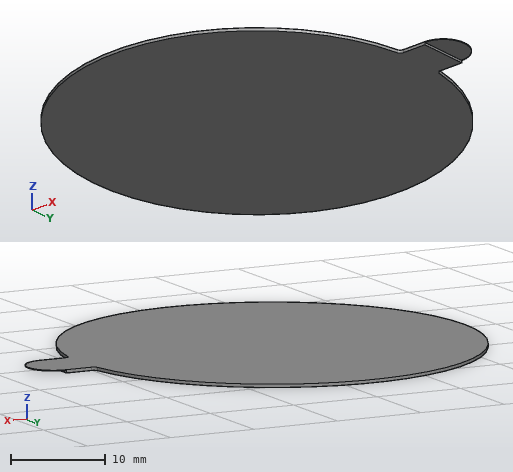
import cadquery as cq
import math

overall_length = 52.2
disc_diameter = 45.95
thickness = 0.37

tab_width = 6.0
tip_thickness = 0.1
root_fillet = 0.5

disc_radius = disc_diameter / 2
tab_radius = tab_width / 2
tab_end_x = overall_length - disc_radius
tip_center_x = tab_end_x - tab_radius

fillet_center_y = tab_radius + root_fillet
fillet_center_x = math.sqrt((disc_radius + root_fillet) ** 2 - fillet_center_y**2)
rim_ratio = disc_radius / (disc_radius + root_fillet)
rim_x = fillet_center_x * rim_ratio
rim_y = fillet_center_y * rim_ratio

rim_angle = math.atan2(rim_y - fillet_center_y, rim_x - fillet_center_x) % (2 * math.pi)
side_angle = 1.5 * math.pi
middle_angle = (rim_angle + side_angle) / 2
fillet_middle_x = fillet_center_x + root_fillet * math.cos(middle_angle)
fillet_middle_y = fillet_center_y + root_fillet * math.sin(middle_angle)


def make_body():
    """Full-thickness disc with the straight part of the tab."""
    return (
        cq.Workplane("XY")
        .moveTo(rim_x, rim_y)
        .threePointArc((-disc_radius, 0), (rim_x, -rim_y))
        .threePointArc((fillet_middle_x, -fillet_middle_y), (fillet_center_x, -tab_radius))
        .lineTo(tip_center_x, -tab_radius)
        .lineTo(tip_center_x, tab_radius)
        .lineTo(fillet_center_x, tab_radius)
        .threePointArc((fillet_middle_x, fillet_middle_y), (rim_x, rim_y))
        .close()
        .extrude(thickness)
    )


def make_tip():
    """Thin half-round tab tip, flush with the top face."""
    return (
        cq.Workplane("XY")
        .workplane(offset=thickness - tip_thickness)
        .moveTo(tip_center_x, -tab_radius)
        .threePointArc((tab_end_x, 0), (tip_center_x, tab_radius))
        .close()
        .extrude(tip_thickness)
    )


result = make_body().union(make_tip())